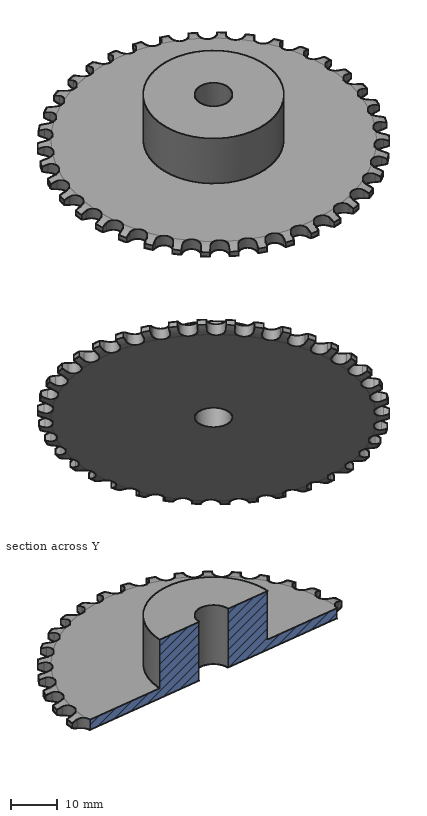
import cadquery as cq
import math

tooth_count = 38
outer_diameter = 75.0
chain_pitch = 6.0
seat_radius = 2.0
plate_thickness = 2.7
overall_height = 15.0
hub_diameter = 30.0
bore_diameter = 8.0
relief_depth = 2.85
relief_radius = chain_pitch

outer_radius = outer_diameter / 2
tooth_angle = 360 / tooth_count
pitch_radius = chain_pitch / (2 * math.sin(math.pi / tooth_count))


def make_blank():
    """Disc whose rim is thinned on both faces by arcs tangent to the faces."""
    relief_start = outer_radius - relief_depth

    def face_drop(distance):
        return relief_radius - math.sqrt(relief_radius**2 - distance**2)

    mid_radius = relief_start + relief_depth / 2
    mid_drop = face_drop(relief_depth / 2)
    rim_drop = face_drop(relief_depth)
    return (
        cq.Workplane("XZ")
        .lineTo(relief_start, 0)
        .threePointArc((mid_radius, mid_drop), (outer_radius, rim_drop))
        .lineTo(outer_radius, plate_thickness - rim_drop)
        .threePointArc((mid_radius, plate_thickness - mid_drop), (relief_start, plate_thickness))
        .lineTo(0, plate_thickness)
        .close()
        .revolve(360, (0, 0, 0), (0, 1, 0))
    )


def make_gap():
    """Tooth gap on the +X axis: a round roller seat with flanks that keep the teeth parallel-sided."""
    flank_angle = math.radians(tooth_angle / 2)
    tangent_x = pitch_radius - seat_radius * math.sin(flank_angle)
    tangent_y = seat_radius * math.cos(flank_angle)
    open_x = outer_radius + seat_radius
    open_y = tangent_y + (open_x - tangent_x) * math.tan(flank_angle)
    return (
        cq.Workplane("XY")
        .moveTo(open_x, open_y)
        .lineTo(tangent_x, tangent_y)
        .threePointArc((pitch_radius - seat_radius, 0), (tangent_x, -tangent_y))
        .lineTo(open_x, -open_y)
        .close()
        .extrude(plate_thickness)
    )


def make_toothed_plate():
    """Plate with teeth centred on the Y axis."""
    plate = make_blank()
    gap = make_gap()
    first_gap_angle = 90 + tooth_angle / 2
    for index in range(tooth_count):
        angle = first_gap_angle + index * tooth_angle
        plate = plate.cut(gap.rotate((0, 0, 0), (0, 0, 1), angle))
    return plate


hub = cq.Workplane("XY").circle(hub_diameter / 2).extrude(overall_height)
bore = cq.Workplane("XY").circle(bore_diameter / 2).extrude(overall_height)

result = make_toothed_plate().union(hub).cut(bore)